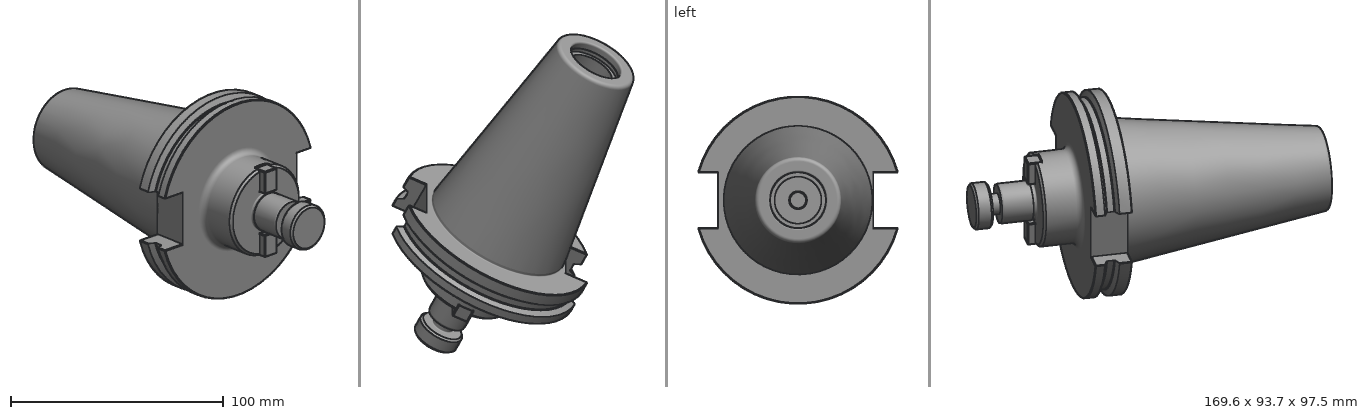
import cadquery as cq


taper_length = 101.5
small_radius = 20.0
gauge_radius = 35.0
collar_fillet = 0.42
small_end_rounding = 2.0

mouth_radius = 13.0
mouth_rounding = 1.0
groove_in_mouth_radius = 26.6 / 2
groove_in_mouth_start = 3.9
mouth_depth = 6.0
bore_radius = 11.0
bore_depth = taper_length

flange_start = 103.0
flange_width = 17.8
flange_end = flange_start + flange_width
flange_radius = 97.5 / 2
flange_chamfer = 0.42
groove_center = 112.6
groove_floor_width = 3.9
groove_top_width = 7.1
groove_floor_radius = 45.5
groove_floor_fillet = 0.5

notch_width = 26.0
notch_floor_front = 35.5
notch_floor_back = 37.7

hub_radius = 44.6 / 2
hub_end = 140.0
hub_chamfer = 1.2
hub_fillet = 3.0

pilot_radius = 9.5
pilot_end = 156.9
pilot_taper_length = 1.0
relief_radius = 18.5 / 2
relief_width = 1.9
relief_fillet = 0.5

key_width = 8.0
key_start = 136.4
key_end = 143.5
key_inner = 10.3
key_outer = 21.7
key_chamfer = 0.5

thread_radius = 4.2
tip_chamfer = 0.5
neck_radius = 10.0 / 2
neck_fillet = 0.5
head_radius = 11.0
head_start = 161.5
head_end = 169.6
head_chamfer = 1.0

pick = 0.08


def turned(points):
    """Revolve an (x, radius) outline about the X axis."""
    return cq.Workplane("XY").polyline(points).close().revolve(360, (0, 0, 0), (1, 0, 0))


def block(x_start, x_end, y_low, y_high, z_low, z_high):
    """Rectangular block between the given limits."""
    corner = cq.Workplane("XY").box(x_end - x_start, y_high - y_low, z_high - z_low, centered=False)
    return corner.translate((x_start, y_low, z_low))


def circle_at(x, radius):
    """Selector for the edges around the axis at x that lie within the radius."""
    reach = radius + pick
    return cq.selectors.BoxSelector((x - pick, -reach, -reach), (x + pick, reach, reach), boundingbox=True)


def side_span(sign, low, high):
    """Ordered limits of a span that lies on the + or - side of the axis."""
    return sorted((sign * low, sign * high))


def make_turned_body():
    """Taper shank, grooved flange, hub and pilot as one turned solid."""
    body = turned([
        (0, 0),
        (0, small_radius),
        (taper_length, gauge_radius),
        (flange_start, gauge_radius),
        (flange_start, flange_radius),
        (groove_center - groove_top_width / 2, flange_radius),
        (groove_center - groove_floor_width / 2, groove_floor_radius),
        (groove_center + groove_floor_width / 2, groove_floor_radius),
        (groove_center + groove_top_width / 2, flange_radius),
        (flange_end, flange_radius),
        (flange_end, hub_radius),
        (hub_end - hub_chamfer, hub_radius),
        (hub_end, hub_radius - hub_chamfer),
        (hub_end, relief_radius),
        (hub_end + relief_width, relief_radius),
        (hub_end + relief_width, pilot_radius),
        (pilot_end - pilot_taper_length, pilot_radius),
        (pilot_end, relief_radius),
        (pilot_end, 0),
    ])
    body = body.edges(circle_at(0, small_radius)).fillet(small_end_rounding)
    body = body.edges(circle_at(flange_start, gauge_radius)).fillet(collar_fillet)
    body = body.edges(circle_at(flange_end, hub_radius)).fillet(hub_fillet)
    body = body.edges(circle_at(hub_end, relief_radius)).fillet(relief_fillet)
    for side in (-1, 1):
        floor_corner = circle_at(groove_center + side * groove_floor_width / 2, groove_floor_radius)
        body = body.edges(floor_corner).fillet(groove_floor_fillet)
    return body


def cut_bore(body):
    """Bore from the small end and the narrower screw hole through to the pilot face."""
    body = body.cut(turned([
        (0, 0),
        (0, mouth_radius),
        (groove_in_mouth_start, mouth_radius),
        (groove_in_mouth_start, groove_in_mouth_radius),
        (mouth_depth, groove_in_mouth_radius),
        (mouth_depth, bore_radius),
        (bore_depth, bore_radius),
        (bore_depth, thread_radius),
        (pilot_end, thread_radius),
        (pilot_end, 0),
    ]))
    return body.edges(circle_at(0, mouth_radius)).fillet(mouth_rounding)


def cut_notches(body):
    """Two notches through the flange, with the sharp edges of the flange broken."""
    half_width = notch_width / 2
    for sign, floor in ((-1, notch_floor_front), (1, notch_floor_back)):
        y_low, y_high = side_span(sign, floor, flange_radius)
        body = body.cut(block(flange_start, flange_end, y_low, y_high, -half_width, half_width))

    def is_sharp(edge):
        box = edge.BoundingBox()
        middle = edge.positionAt(0.5)
        radius = (middle.y ** 2 + middle.z ** 2) ** 0.5
        on_end_face = box.xlen < pick and min(abs(box.xmin - flange_start), abs(box.xmin - flange_end)) < pick
        on_rim = abs(radius - flange_radius) < pick
        on_wall = box.zlen < pick and abs(abs(middle.z) - half_width) < pick
        return (on_end_face and (on_rim or on_wall)) or (on_wall and on_rim)

    sharp_edges = [edge for edge in body.edges().vals() if is_sharp(edge)]
    return body.newObject(sharp_edges).chamfer(flange_chamfer)


def cut_key_slots(body):
    """Slots in the hub face, open outward, that hold the keys."""
    for sign in (1, -1):
        z_low, z_high = side_span(sign, key_inner, hub_radius)
        body = body.cut(block(key_start, key_end, -key_width / 2, key_width / 2, z_low, z_high))
    return body


def make_holder():
    return cut_key_slots(cut_notches(cut_bore(make_turned_body())))


def make_key(sign):
    """One driving key on the +Z or -Z side of the axis."""
    z_low, z_high = side_span(sign, key_inner, key_outer)
    return block(key_start, key_end, -key_width / 2, key_width / 2, z_low, z_high).edges().chamfer(key_chamfer)


def make_screw():
    """Screw whose neck seats on the pilot face and whose thread fills the screw hole."""
    screw = turned([
        (bore_depth, 0),
        (bore_depth, thread_radius - tip_chamfer),
        (bore_depth + tip_chamfer, thread_radius),
        (pilot_end, thread_radius),
        (pilot_end, neck_radius),
        (head_start, neck_radius),
        (head_start, head_radius - head_chamfer),
        (head_start + head_chamfer, head_radius),
        (head_end - head_chamfer, head_radius),
        (head_end, head_radius - head_chamfer),
        (head_end, 0),
    ])
    return screw.edges(circle_at(head_start, neck_radius)).fillet(neck_fillet)


holder = make_holder()
screw = make_screw()
keys = [make_key(sign) for sign in (1, -1)]

result = cq.Compound.makeCompound([holder.val(), screw.val(), *[key.val() for key in keys]])